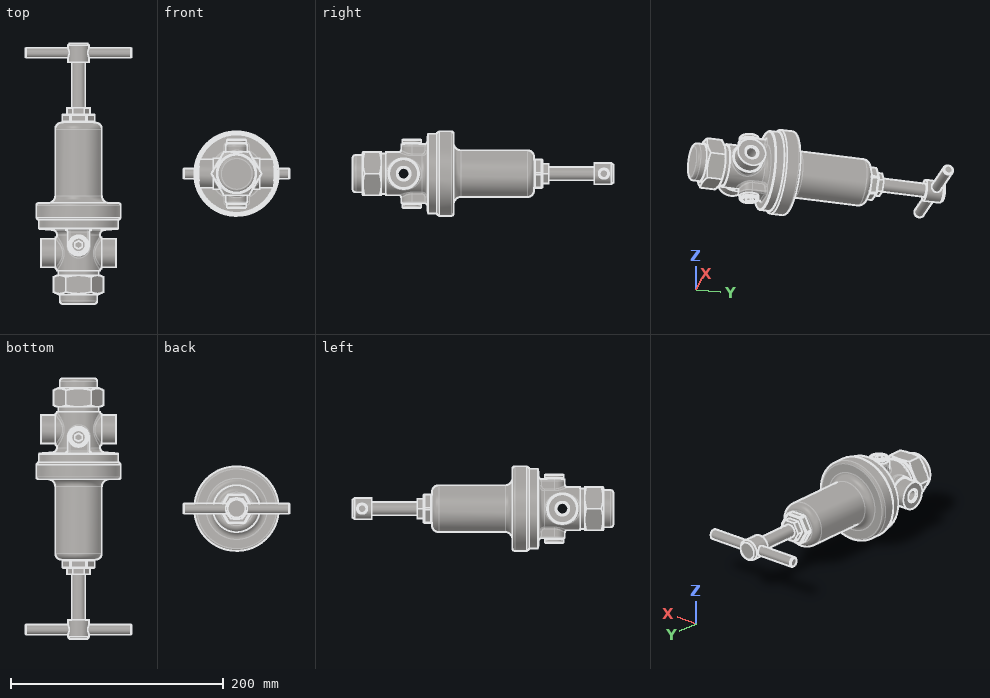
import cadquery as cq
import math


contact_tolerance = 0.002

cap_end = -48.0
body_end = -16.7
body_cone_start = 21.5
body_rim_end = 22.5
joint_y = 31.2
flange_top = 47.0
bonnet_top = 122.6
nut_step = 130.5
nut_top = 136.5
spindle_top = 197.2

spindle_radius = 6.5
head_radius = 10.0
head_length = 18.2
head_chamfer_length = 1.7
head_chamfer_depth = 2.2
bar_length = 100.0
bar_radius = 5.0
bar_chamfer = 1.0
bar_y = spindle_top - head_length / 2

nut_flats = 27.5
nut_chamfer = 1.0
lock_flats = 19.0

bonnet_radius = 22.0
bonnet_dome_radius = 6.5
bonnet_root_fillet = 6.6
flange_diameter = 79.7
flange_fillet = 2.5
flange_chamfer_length = 2.2
flange_chamfer_depth = 1.6

rim_radius = 37.5
rim_chamfer = 0.7
body_radius = 20.4
body_root_fillet = 4.5

port_radius = 13.5
port_reach = 35.3
collar_radius = 14.5
collar_reach = 21.8
collar_fillet = 2.0
bore_radius = 5.5
bore_mouth_radius = 6.6

boss_y = 7.5
boss_radius = 10.0
boss_top = 28.0
boss_top_fillet = 1.7
boss_root_fillet = 2.0

plug_head_radius = 9.0
plug_neck_radius = 6.6
plug_neck_length = 1.0
plug_head_height = 3.5
plug_chamfer = 1.0
plug_recess_radius = 6.6
plug_recess_depth = 0.5
socket_flats = 6.6
socket_depth = 4.0

cap_neck_radius = 19.1
cap_neck_length = 4.5
cap_hex_flats = 41.0
cap_hex_length = 18.0
cap_hex_inner_face_radius = 20.5
cap_hex_outer_face_radius = 18.6
cap_hex_cone_angle = 25
cap_stub_radius = 17.7
cap_end_fillet = 3.2


def across_corners(flats):
    """Corner-to-corner width of a hexagon from its width across flats."""
    return flats * 2 / math.sqrt(3)


def y_rod(radius, start, end):
    """Cylinder on the valve axis between two Y stations."""
    return cq.Workplane("XZ", origin=(0, start, 0)).circle(radius).extrude(start - end)


def y_hexagon(flats, start, end):
    """Hexagonal bar on the valve axis with two corners on the X axis."""
    return (
        cq.Workplane("XZ", origin=(0, start, 0))
        .polygon(6, across_corners(flats))
        .extrude(start - end)
    )


def x_rod(radius, half_length, y=0):
    """Cylinder parallel to X, centred on the valve axis."""
    return cq.Workplane("YZ", origin=(0, y, 0)).circle(radius).extrude(half_length, both=True)


def join_with_fillet(base, addition, radius):
    """Union of two shapes, with a fillet along every edge where their surfaces meet."""
    joined = base.union(addition)
    shells = [base.val().Shells()[0], addition.val().Shells()[0]]
    meeting_edges = []
    for edge in joined.edges().vals():
        point = cq.Vertex.makeVertex(*edge.positionAt(0.5).toTuple())
        if all(point.distance(shell) < contact_tolerance for shell in shells):
            meeting_edges.append(edge)
    return joined.newObject(meeting_edges).fillet(radius)


def make_tommy_screw():
    """Adjusting spindle with its head and cross bar, standing on the bonnet."""
    head_bottom = spindle_top - head_length
    spindle = y_rod(spindle_radius, bonnet_top, head_bottom)
    head = y_rod(head_radius, head_bottom, spindle_top)
    head = head.faces(">Y").edges().chamfer(head_chamfer_depth, head_chamfer_length)
    bar = x_rod(bar_radius, bar_length / 2, bar_y).faces("<X or >X").edges().chamfer(bar_chamfer)
    return spindle.union(head).union(bar)


def make_nut():
    """Two stacked hexagons bored for the spindle."""
    base = y_hexagon(nut_flats, bonnet_top, nut_step).edges().chamfer(nut_chamfer)
    lock = y_hexagon(lock_flats, nut_step, nut_top)
    bore = y_rod(spindle_radius, bonnet_top, nut_top)
    return base.union(lock).cut(bore)


def make_bonnet():
    """Domed spring housing on a flange."""
    flange = y_rod(flange_diameter / 2, joint_y, flange_top)
    flange = flange.faces("<Y").edges().chamfer(flange_chamfer_length, flange_chamfer_depth)
    flange = flange.faces(">Y").edges().fillet(flange_fillet)
    barrel = y_rod(bonnet_radius, flange_top, bonnet_top)
    barrel = barrel.faces(">Y").edges().fillet(bonnet_dome_radius)
    return join_with_fillet(flange, barrel, bonnet_root_fillet)


def make_body_core():
    """Turned part of the body, with a rim that meets the bonnet at joint_y."""
    arc_mid = body_root_fillet * (1 - math.sqrt(0.5))
    return (
        cq.Workplane("XY")
        .moveTo(0, body_end)
        .lineTo(body_radius, body_end)
        .lineTo(body_radius, body_cone_start - body_root_fillet)
        .threePointArc(
            (body_radius + arc_mid, body_cone_start - arc_mid),
            (body_radius + body_root_fillet, body_cone_start),
        )
        .lineTo(rim_radius - rim_chamfer, body_rim_end)
        .lineTo(rim_radius, body_rim_end + rim_chamfer)
        .lineTo(rim_radius, joint_y)
        .lineTo(0, joint_y)
        .close()
        .revolve(360, (0, 0, 0), (0, 1, 0))
    )


def make_boss():
    """U-shaped boss on the +Z side that runs into the body rim."""
    return (
        cq.Workplane("XY")
        .moveTo(-boss_radius, body_rim_end + rim_chamfer)
        .lineTo(-boss_radius, boss_y)
        .threePointArc((0, boss_y - boss_radius), (boss_radius, boss_y))
        .lineTo(boss_radius, body_rim_end + rim_chamfer)
        .close()
        .extrude(boss_top)
        .faces(">Z").edges("not >Y").fillet(boss_top_fillet)
    )


def make_body():
    """Valve body with two collared side ports, two gauge bosses and a through bore."""
    body = join_with_fillet(make_body_core(), x_rod(collar_radius, port_reach), collar_fillet)
    for side in (-1, 1):
        collar_end = cq.Workplane("YZ", origin=(side * collar_reach, 0, 0))
        trim = collar_end.circle(collar_radius + collar_fillet).circle(port_radius)
        body = body.cut(trim.extrude(side * (port_reach - collar_reach)))
    upper_boss = make_boss()
    for boss in (upper_boss, upper_boss.mirror("XY")):
        body = join_with_fillet(body, boss, boss_root_fillet)
    body = body.cut(x_rod(bore_radius, port_reach))
    for side in (-1, 1):
        mouth = cq.Solid.makeCone(
            bore_mouth_radius,
            bore_radius,
            bore_mouth_radius - bore_radius,
            cq.Vector(side * port_reach, 0, 0),
            cq.Vector(-side, 0, 0),
        )
        body = body.cut(cq.Workplane(mouth))
    return body


def make_gauge_plug(side):
    """Plug with a hexagon socket, resting on the upper (side 1) or lower (side -1) boss."""
    head_bottom = boss_top + plug_neck_length
    plane = cq.Workplane("XY", origin=(0, boss_y, 0))
    neck = plane.workplane(offset=boss_top).circle(plug_neck_radius).extrude(plug_neck_length)
    head = plane.workplane(offset=head_bottom).circle(plug_head_radius).extrude(plug_head_height)
    head = head.faces(">Z").edges().chamfer(plug_chamfer)
    face = plane.workplane(offset=head_bottom + plug_head_height)
    recess = face.circle(plug_recess_radius).extrude(-plug_recess_depth)
    turned_face = face.transformed(rotate=(0, 0, 90))
    socket = turned_face.polygon(6, across_corners(socket_flats)).extrude(-socket_depth)
    plug = neck.union(head).cut(recess).cut(socket)
    return plug if side > 0 else plug.mirror("XY")


def make_cap():
    """Bottom cap: a neck, a hexagon chamfered by two cones, and a rounded stub."""
    hex_start = body_end - cap_neck_length
    hex_end = hex_start - cap_hex_length
    corner_radius = across_corners(cap_hex_flats) / 2
    cone_slope = math.tan(math.radians(cap_hex_cone_angle))
    inner_cone_length = (corner_radius - cap_hex_inner_face_radius) * cone_slope
    outer_cone_length = (corner_radius - cap_hex_outer_face_radius) * cone_slope
    turned_blank = (
        cq.Workplane("XY")
        .moveTo(0, hex_start)
        .lineTo(cap_hex_inner_face_radius, hex_start)
        .lineTo(corner_radius, hex_start - inner_cone_length)
        .lineTo(corner_radius, hex_end + outer_cone_length)
        .lineTo(cap_hex_outer_face_radius, hex_end)
        .lineTo(0, hex_end)
        .close()
        .revolve(360, (0, 0, 0), (0, 1, 0))
    )
    hexagon = y_hexagon(cap_hex_flats, hex_end, hex_start).intersect(turned_blank)
    neck = y_rod(cap_neck_radius, hex_start, body_end)
    stub = y_rod(cap_stub_radius, cap_end, hex_end).faces("<Y").edges().fillet(cap_end_fillet)
    return neck.union(hexagon).union(stub)


tommy_screw = make_tommy_screw()
nut = make_nut()
bonnet = make_bonnet()
body = make_body()
cap = make_cap()
gauge_plugs = [make_gauge_plug(side) for side in (1, -1)]

result = cq.Compound.makeCompound(
    [
        tommy_screw.val(),
        nut.val(),
        bonnet.val(),
        body.val(),
        cap.val(),
        *[plug.val() for plug in gauge_plugs],
    ]
)